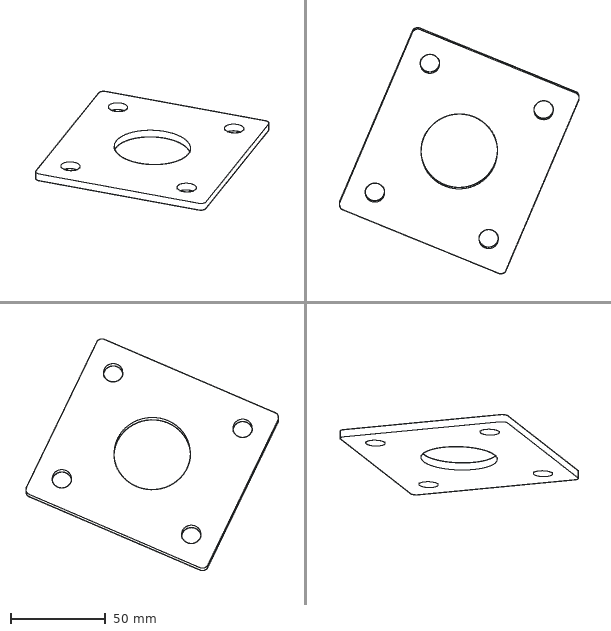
import cadquery as cq

plate_length = 105.0
plate_width = 95.0
plate_thickness = 4.0
corner_radius = 3.0

bore_diameter = 40.2
bolt_hole_diameter = 10.2
bolt_spacing_length = 75.0
bolt_spacing_width = 65.0

turn_about_z = -41.5
tilt_about_x = -1.7


def flange_plate():
    """Flat rounded plate centred on the origin, with its length along X."""
    blank = cq.Workplane("XY").box(plate_length, plate_width, plate_thickness)
    return blank.edges("|Z").fillet(corner_radius)


def cut_holes(plate):
    """Cut the central bore and the four bolt holes through the plate."""
    bored = plate.faces(">Z").workplane().hole(bore_diameter)
    return (
        bored.faces(">Z")
        .workplane()
        .rarray(bolt_spacing_length, bolt_spacing_width, 2, 2)
        .hole(bolt_hole_diameter)
    )


flange = cut_holes(flange_plate())
turned = flange.rotate((0, 0, 0), (0, 0, 1), turn_about_z)
result = turned.rotate((0, 0, 0), (1, 0, 0), tilt_about_x)